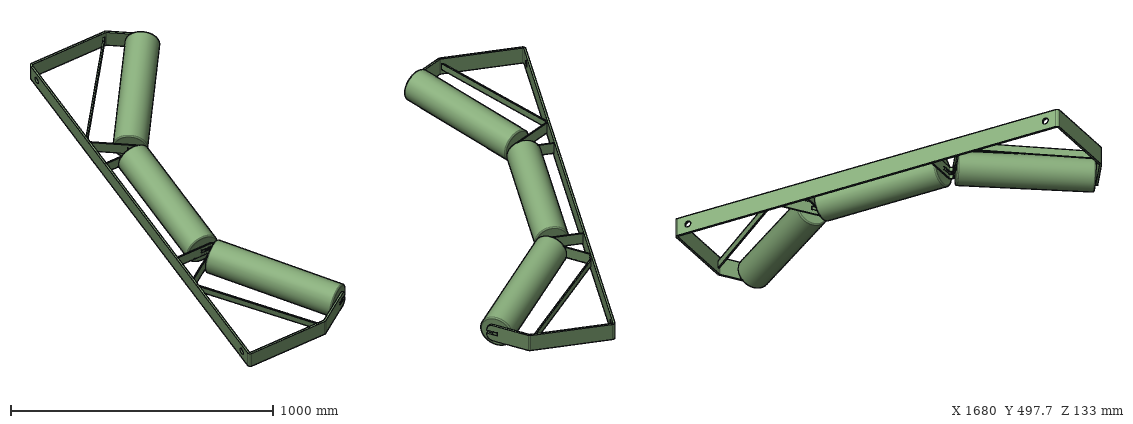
import cadquery as cq
import math

frame_length = 1680.0
frame_thickness = 8.0
frame_width = 75.0
frame_bend_radius = 12.0
mount_hole_diameter = 25.0
mount_hole_inset = 57.0

drum_diameter = 133.0
drum_length = 530.0
rim_radius = 5.0
shaft_diameter = 20.0
shaft_flat_width = 14.0

center_axis_y = 126.5
wing_angle = 35.0
wing_center_x = 530.5
wing_center_y = 293.2
end_gap = 5.0

arm_tip_rise = 34.0
arm_corner_radius = 25.0

bracket_thickness = 5.0
bracket_width = 50.0
bracket_bend_radius = 12.0
slot_reach = 100.0

brace_thickness = 6.0
brace_width = 30.0
brace_foot_x = 418.0
brace_head_drop = 10.0

half_length = frame_length / 2
half_drum = drum_length / 2
arm_outer_offset = half_drum + end_gap + frame_thickness
arm_middle_offset = arm_outer_offset - frame_thickness / 2
bracket_outer_offset = half_drum + end_gap + bracket_thickness
bracket_middle_offset = bracket_outer_offset - bracket_thickness / 2

tilt = math.radians(wing_angle)
axis_direction = cq.Vector(math.cos(tilt), math.sin(tilt), 0)
across_direction = cq.Vector(-math.sin(tilt), math.cos(tilt), 0)
wing_center = cq.Vector(wing_center_x, wing_center_y, 0)


def wing_point(along, across=0.0):
    """Point beside the +X wing roller, measured from the drum's middle."""
    return wing_center + axis_direction * along + across_direction * across


def wing_point_at_x(along, x):
    """Point at the given X on the line across the wing roller's axis."""
    return wing_point(along, (wing_point(along).x - x) / math.sin(tilt))


def wing_point_at_y(along, y):
    """Point at the given Y on the line across the wing roller's axis."""
    return wing_point(along, (y - wing_point(along).y) / math.cos(tilt))


upright_middle_x = half_length - frame_thickness / 2
arm_root = wing_point_at_x(arm_middle_offset, upright_middle_x)


def mirrored(point):
    return cq.Vector(-point.x, point.y, point.z)


def to_wing(shape):
    """Carry a shape built about the origin along X to the +X wing roller."""
    return shape.rotate((0, 0, 0), (0, 0, 1), wing_angle).translate(wing_center)


def bent_bar(points, width, thickness, outer_radius):
    """Flat bar swept along a middle line in the XY plane, with rounded bends."""
    path = cq.Wire.makePolygon(points).fillet(outer_radius - thickness / 2)
    section = cq.Plane(origin=points[0], xDir=(0, 0, 1), normal=points[1] - points[0])
    return cq.Workplane(section).rect(width, thickness).sweep(cq.Workplane(path))


def shaft_slot(plate_middle, plate_thickness):
    """Cutter for a plate across X: fits the flattened shaft and is open towards +Y."""
    slot_bottom = -shaft_diameter / 2
    return (
        cq.Workplane("XY", origin=(plate_middle, (slot_bottom + slot_reach) / 2, 0))
        .rect(2 * plate_thickness, slot_reach - slot_bottom)
        .extrude(shaft_flat_width / 2, both=True)
    )


def make_roller(left_reach, right_reach):
    """Roller along X; the reaches run from the drum's middle to the shaft's tips."""
    drum = (
        cq.Workplane("YZ", origin=(-half_drum, 0, 0))
        .circle(drum_diameter / 2)
        .extrude(drum_length)
        .faces("<X or >X")
        .edges()
        .fillet(rim_radius)
    )
    shaft = (
        cq.Workplane("YZ", origin=(-left_reach, 0, 0))
        .circle(shaft_diameter / 2)
        .extrude(left_reach + right_reach)
    )
    between_flats = cq.Workplane("XY").box(2 * drum_length, shaft_diameter, shaft_flat_width)
    return drum.union(shaft.intersect(between_flats))


def make_frame():
    right_half = [
        wing_point(arm_middle_offset, arm_tip_rise),
        arm_root,
        cq.Vector(upright_middle_x, frame_thickness / 2, 0),
    ]
    left_half = [mirrored(point) for point in reversed(right_half)]
    bar = bent_bar(right_half + left_half, frame_width, frame_thickness, frame_bend_radius)
    for arm_normal in (axis_direction, mirrored(axis_direction)):
        tip_edges = cq.selectors.ParallelDirSelector(arm_normal)
        bar = bar.edges(tip_edges).fillet(arm_corner_radius)
    right_slot = to_wing(shaft_slot(arm_middle_offset, frame_thickness))
    bar = bar.cut(right_slot).cut(right_slot.mirror("YZ"))
    hole_x = half_length - mount_hole_inset
    holes = (
        cq.Workplane("XZ", origin=(0, frame_thickness, 0))
        .pushPoints([(-hole_x, 0), (hole_x, 0)])
        .circle(mount_hole_diameter / 2)
        .extrude(frame_thickness)
    )
    return bar.cut(holes)


def make_right_bracket():
    """Bracket standing on the base between the middle roller and the +X wing roller."""
    post_x = bracket_middle_offset
    strip_path = [
        cq.Vector(post_x, frame_thickness, 0),
        wing_point_at_x(-bracket_middle_offset, post_x),
        wing_point_at_y(-bracket_middle_offset, 0),
    ]
    strip = bent_bar(strip_path, bracket_width, bracket_thickness, bracket_bend_radius)
    below_base_top = (
        cq.Workplane("XZ", origin=(0, frame_thickness, 0))
        .rect(frame_length, bracket_width)
        .extrude(frame_length)
    )
    post_slot = shaft_slot(post_x, bracket_thickness).translate((0, center_axis_y, 0))
    leg_slot = to_wing(shaft_slot(-bracket_middle_offset, bracket_thickness))
    return strip.cut(below_base_top).cut(post_slot).cut(leg_slot)


def make_right_brace():
    """Slanted brace, trimmed flush with the base's top and the upright's inner side."""
    foot = cq.Vector(brace_foot_x, frame_thickness, 0)
    head = cq.Vector(half_length - frame_thickness, arm_root.y - brace_head_drop, 0)
    slope = math.atan2(head.y - foot.y, head.x - foot.x)
    half_foot = brace_thickness / 2 / math.sin(slope)
    half_head = brace_thickness / 2 / math.cos(slope)
    return (
        cq.Workplane("XY")
        .moveTo(foot.x - half_foot, foot.y)
        .lineTo(foot.x + half_foot, foot.y)
        .lineTo(head.x, head.y - half_head)
        .lineTo(head.x, head.y + half_head)
        .close()
        .extrude(brace_width / 2, both=True)
    )


frame = make_frame()
center_roller = make_roller(bracket_outer_offset, bracket_outer_offset)
center_roller = center_roller.translate((0, center_axis_y, 0))
right_wing_roller = to_wing(make_roller(bracket_outer_offset, arm_outer_offset))
right_bracket = make_right_bracket()
right_brace = make_right_brace()

bodies = [frame, center_roller]
for right_body in (right_wing_roller, right_bracket, right_brace):
    bodies += [right_body, right_body.mirror("YZ")]

result = cq.Compound.makeCompound([body.solids().val() for body in bodies])